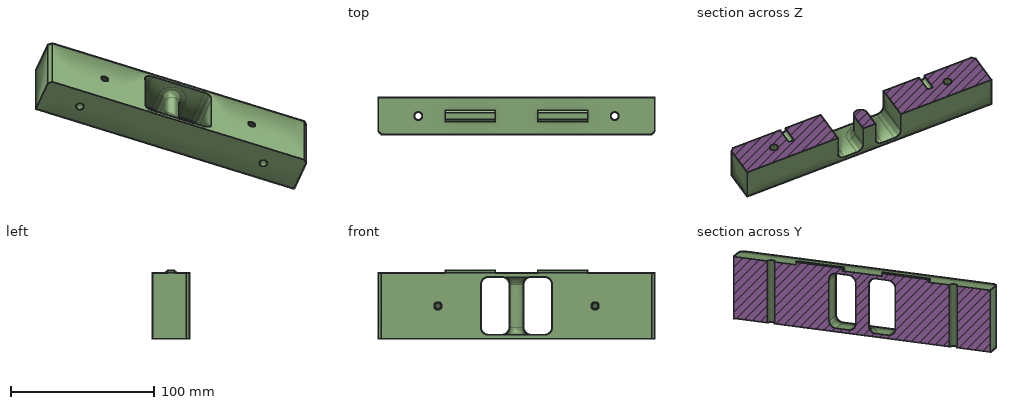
import cadquery as cq
import math

length = 193.3
depth = 26.0
total_height = 48.0
ridge_height = 2.0
body_height = total_height - ridge_height
middle_height = body_height / 2
corner_chamfer = 2.3

window_width = 49.5
window_wall = 2.9
window_height = body_height - 2 * window_wall
window_radius = 5.0
nose_radius = 10.0 / 2
rib_fillet = 5.0

ridge_length = 35.0
ridge_spacing = 64.5
ridge_base_width = 8.1
ridge_top_width = 4.3

vertical_hole_diameter = 5.5
vertical_hole_spacing = 137.2
front_hole_diameter = 4.3
front_hole_mouth_diameter = 5.5
front_hole_spacing = 109.8
front_hole_depth = depth / 2


def make_body():
    """Bar with its two front vertical edges chamfered."""
    bar = cq.Workplane("XY").box(length, depth, body_height, centered=(True, True, False))
    return bar.edges("|Z and <Y").chamfer(corner_chamfer)


def make_window():
    """Rounded rectangular opening running through the bar along Y."""
    block = cq.Workplane("XY").box(window_width, depth, window_height)
    return block.edges("|Y").fillet(window_radius).translate((0, 0, middle_height))


def draw_flared_side(plane):
    """Half section of the rib: straight side with a concave arc flaring out at each end."""
    bottom = window_wall
    top = body_height - window_wall
    flare_radius = nose_radius + rib_fillet
    arc_rise = rib_fillet * (1 - math.sqrt(0.5))
    arc_middle = nose_radius + arc_rise
    return (
        cq.Workplane(plane)
        .moveTo(0, bottom)
        .lineTo(flare_radius, bottom)
        .threePointArc((arc_middle, bottom + arc_rise), (nose_radius, bottom + rib_fillet))
        .lineTo(nose_radius, top - rib_fillet)
        .threePointArc((arc_middle, top - arc_rise), (flare_radius, top))
        .lineTo(0, top)
        .close()
    )


def make_rib():
    """Rib from the rear face to mid-depth, ending in a round front nose."""
    nose = draw_flared_side("XZ").revolve(360, (0, 0, 0), (0, 1, 0))
    right_half = draw_flared_side("XZ").extrude(-depth / 2)
    left_half = right_half.mirror("YZ")
    web = right_half.union(left_half)
    return nose.union(web)


def make_ridge(center_x):
    """Trapezoidal ridge lying along X on the top face."""
    half_base = ridge_base_width / 2
    half_top = ridge_top_width / 2
    return (
        cq.Workplane("YZ", origin=(center_x - ridge_length / 2, 0, 0))
        .moveTo(-half_base, body_height)
        .lineTo(half_base, body_height)
        .lineTo(half_top, total_height)
        .lineTo(-half_top, total_height)
        .close()
        .extrude(ridge_length)
    )


def make_vertical_hole(center_x):
    """Plain hole through the full height of the bar."""
    circle = cq.Workplane("XY").center(center_x, 0).circle(vertical_hole_diameter / 2)
    return circle.extrude(body_height)


def make_front_hole(center_x):
    """Blind hole in the front face with a 45 degree countersunk mouth."""
    mouth_radius = front_hole_mouth_diameter / 2
    hole_radius = front_hole_diameter / 2
    front = cq.Vector(center_x, -depth / 2, middle_height)
    inward = cq.Vector(0, 1, 0)
    drill = cq.Solid.makeCylinder(hole_radius, front_hole_depth, front, inward)
    mouth = cq.Solid.makeCone(mouth_radius, hole_radius, mouth_radius - hole_radius, front, inward)
    return cq.Workplane(drill).union(cq.Workplane(mouth))


result = make_body().cut(make_window()).union(make_rib())
for side in (-1, 1):
    result = result.union(make_ridge(side * ridge_spacing / 2))
    result = result.cut(make_vertical_hole(side * vertical_hole_spacing / 2))
    result = result.cut(make_front_hole(side * front_hole_spacing / 2))